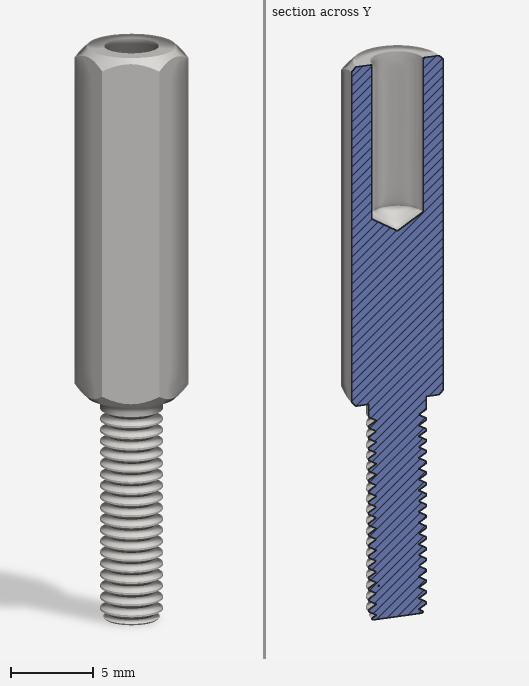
import cadquery as cq
import math

hex_sides = 6
hex_across_flats = 6.0
hex_length = 22.0
hex_face_diameter = 5.4

stud_length = 14.0
major_diameter = 3.8
thread_pitch = 0.7
thread_depth = 0.5
groove_count = 19
first_groove_z = 0.3
flank_half_angle = 30.0
tip_chamfer = 0.3

hole_diameter = 3.3
hole_depth = 10.0
drill_point_angle = 118.0

hex_bottom = stud_length
hex_top = stud_length + hex_length
half_side_angle = 180 / hex_sides
hex_across_corners = hex_across_flats / math.cos(math.radians(half_side_angle))


def revolve_profile(profile):
    """Close an (r, z) profile and turn it about the Z axis."""
    return cq.Workplane("XZ").polyline(profile).close().revolve(360, (0, 0), (0, 1))


def make_hex_body():
    """Hexagon with two corners on the Y axis and a turned 45 degree chamfer at both ends."""
    prism = (
        cq.Workplane("XY", origin=(0, 0, hex_bottom))
        .polygon(hex_sides, hex_across_corners)
        .extrude(hex_length)
        .rotate((0, 0, 0), (0, 0, 1), half_side_angle)
    )
    envelope_radius = hex_across_corners / 2 + 1
    face_radius = hex_face_diameter / 2
    chamfer = envelope_radius - face_radius
    envelope = revolve_profile([
        (0, hex_bottom),
        (face_radius, hex_bottom),
        (envelope_radius, hex_bottom + chamfer),
        (envelope_radius, hex_top - chamfer),
        (face_radius, hex_top),
        (0, hex_top),
    ])
    return prism.intersect(envelope)


def make_stud():
    """Stud with V-shaped ring grooves, a plain collar under the body and a chamfered tip."""
    major_radius = major_diameter / 2
    root_radius = major_radius - thread_depth
    tip_radius = major_radius - tip_chamfer
    flank_slope = math.tan(math.radians(flank_half_angle))
    half_mouth = thread_depth * flank_slope

    tip_above_root = tip_radius - root_radius
    chamfer_height = (first_groove_z - tip_above_root * flank_slope) / (1 + flank_slope)

    profile = [
        (0, 0),
        (tip_radius, 0),
        (tip_radius + chamfer_height, chamfer_height),
    ]
    for groove in range(groove_count):
        groove_z = first_groove_z + groove * thread_pitch
        if groove > 0:
            profile.append((major_radius, groove_z - half_mouth))
        profile.append((root_radius, groove_z))
        profile.append((major_radius, groove_z + half_mouth))
    profile += [(major_radius, hex_bottom), (0, hex_bottom)]
    return revolve_profile(profile)


def make_hole():
    """Drilled hole with a conical bottom, opening at the top face."""
    hole_radius = hole_diameter / 2
    point_depth = hole_radius / math.tan(math.radians(drill_point_angle / 2))
    return revolve_profile([
        (0, hex_top),
        (hole_radius, hex_top),
        (hole_radius, hex_top - hole_depth),
        (0, hex_top - hole_depth - point_depth),
    ])


result = make_hex_body().union(make_stud()).cut(make_hole())